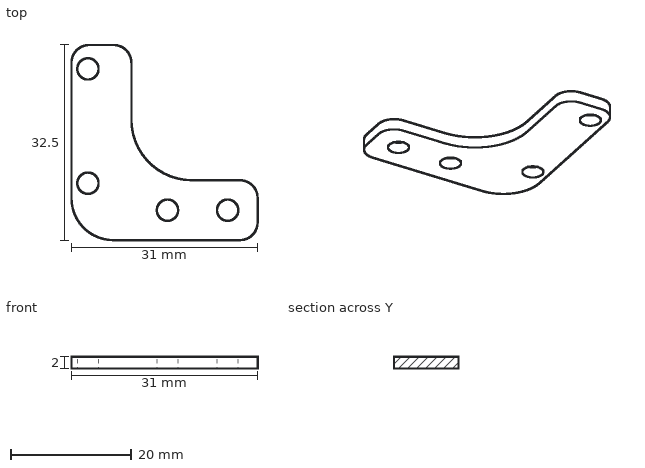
import cadquery as cq

width = 31.0
height = 32.5
thickness = 2.0
arm_width = 10.0

heel_radius = 7.0
inner_radius = 10.0
end_radius = 3.0

hole_diameter = 3.5
upright_hole_x = 2.75
upright_hole_top_margin = 4.0
upright_hole_spacing = 19.0
foot_hole_y = arm_width / 2
foot_hole_end_margin = 5.0
foot_hole_spacing = 10.0

upright_top_y = height - upright_hole_top_margin
foot_end_x = width - foot_hole_end_margin
hole_centers = [
    (upright_hole_x, upright_top_y),
    (upright_hole_x, upright_top_y - upright_hole_spacing),
    (foot_end_x, foot_hole_y),
    (foot_end_x - foot_hole_spacing, foot_hole_y),
]


def round_corners(body, corners, radius):
    """Fillet the vertical edges standing at the given outline corners."""
    for x, y in corners:
        edge = cq.selectors.NearestToPointSelector((x, y, thickness / 2))
        body = body.edges("|Z").edges(edge).fillet(radius)
    return body


plate = (
    cq.Workplane("XY")
    .polyline([
        (0, 0),
        (width, 0),
        (width, arm_width),
        (arm_width, arm_width),
        (arm_width, height),
        (0, height),
    ])
    .close()
    .extrude(thickness)
)

arm_end_corners = [(width, 0), (width, arm_width), (arm_width, height), (0, height)]
plate = round_corners(plate, [(0, 0)], heel_radius)
plate = round_corners(plate, [(arm_width, arm_width)], inner_radius)
plate = round_corners(plate, arm_end_corners, end_radius)

holes = (
    cq.Workplane("XY")
    .pushPoints(hole_centers)
    .circle(hole_diameter / 2)
    .extrude(thickness)
)

result = plate.cut(holes)